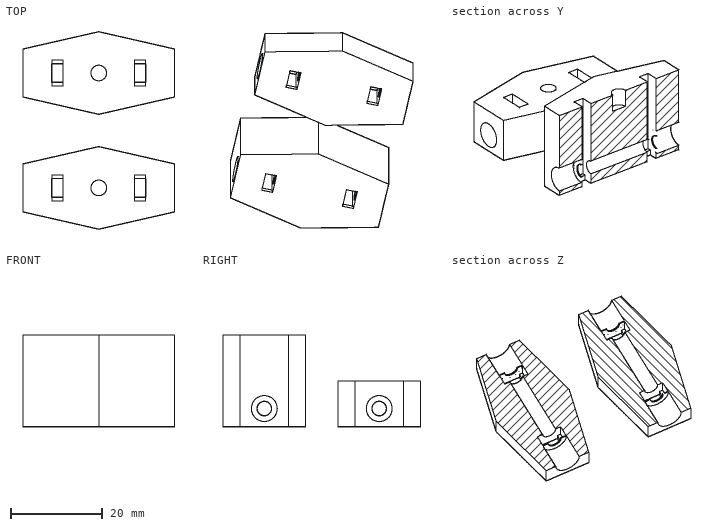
import cadquery as cq

overall_span = 43.0
block_length = 33.0
block_width = 18.0
end_width = 10.5
block_pitch = overall_span - block_width

tall_height = 20.0
short_height = tall_height / 2

channel_height = 4.0
channel_diameter = 3.1
bore_diameter = 5.65
bore_depth = 6.0

top_hole_diameter = 3.4
top_hole_depth = 4.0

slot_offset = 9.0
slot_thickness = 2.4
slot_width = 5.6
floor_opening_width = 4.0
slot_floor_height = channel_height - slot_width / 2


def hexagonal_prism(height):
    """Block blank centred on the Z axis and standing on Z = 0."""
    half_length = block_length / 2
    half_width = block_width / 2
    half_end = end_width / 2
    outline = [
        (-half_length, -half_end),
        (0, -half_width),
        (half_length, -half_end),
        (half_length, half_end),
        (0, half_width),
        (-half_length, half_end),
    ]
    return cq.Workplane("XY").polyline(outline).close().extrude(height)


def lengthwise_channel():
    """Through hole along X with a wider bore at each end."""
    start = cq.Workplane("YZ", origin=(-block_length / 2, 0, channel_height))
    channel = start.circle(channel_diameter / 2).extrude(block_length)
    entry_bore = start.circle(bore_diameter / 2).extrude(bore_depth)
    return channel.union(entry_bore).union(entry_bore.mirror("YZ"))


def nut_slot(x, height):
    """Vertical slot with a ledge on each side of its floor opening."""
    slot = (
        cq.Workplane("XY", origin=(x, 0, slot_floor_height))
        .rect(slot_thickness, slot_width)
        .extrude(height - slot_floor_height)
    )
    floor_opening = (
        cq.Workplane("XY", origin=(x, 0, 0))
        .rect(slot_thickness, floor_opening_width)
        .extrude(height)
    )
    return slot.union(floor_opening)


def top_hole(height):
    """Blind hole going down from the top face."""
    return (
        cq.Workplane("XY", origin=(0, 0, height))
        .circle(top_hole_diameter / 2)
        .extrude(-top_hole_depth)
    )


def clamp_block(height, y):
    """Complete block of the given height, centred at the given Y."""
    block = hexagonal_prism(height).cut(lengthwise_channel()).cut(top_hole(height))
    for x in (-slot_offset, slot_offset):
        block = block.cut(nut_slot(x, height))
    return block.translate((0, y, 0))


tall_block = clamp_block(tall_height, -block_pitch / 2)
short_block = clamp_block(short_height, block_pitch / 2)

result = cq.Compound.makeCompound([tall_block.val(), short_block.val()])